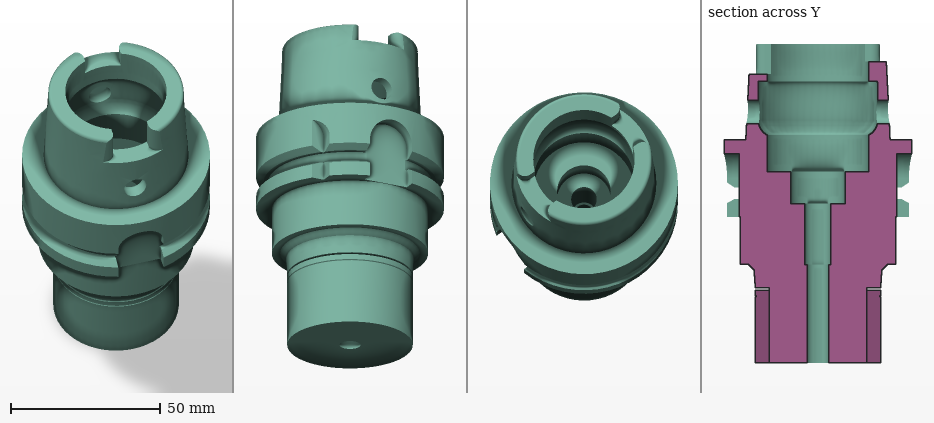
import cadquery as cq
import math

TOP_Z = 107.0
FLANGE_TOP_Z = 74.9
GROOVE_UPPER_EDGE_Z = 60.5
GROOVE_TOP_Z = 58.7
GROOVE_BOTTOM_Z = 55.0
GROOVE_LOWER_EDGE_Z = 53.6
FLANGE_BOTTOM_Z = 48.9
SHANK_BOTTOM_Z = 33.1
COLLAR_TOP_Z = 31.0
COLLAR_BOTTOM_Z = 25.0
NUT_TOP_Z = 24.4

TAPER_BASE_RADIUS = 24.3
TAPER_RATIO = 0.05
TAPER_TOP_RADIUS = TAPER_BASE_RADIUS - TAPER_RATIO * (TOP_Z - FLANGE_TOP_Z)
RIM_FILLET = 1.1
FLANGE_RADIUS = 31.51
GROOVE_LIP_RADIUS = 29.0
GROOVE_RADIUS = 27.5
SHANK_RADIUS = 26.2
NECK_RADIUS = 23.4
COLLAR_TOP_RADIUS = 21.5
COLLAR_BOTTOM_RADIUS = 21.1
SPIGOT_RADIUS = 16.5

MOUTH_RADIUS = 17.0
UNDERCUT_RADIUS = 19.9
UNDERCUT_TOP_Z = 94.3
UNDERCUT_BOTTOM_Z = 75.9
UNDERCUT_FILLET = 5.4
CAVITY_FLOOR_Z = 64.2
SOCKET_RADIUS = 9.0
SOCKET_FLOOR_Z = 53.5
BORE_RADIUS = 3.5
WIDE_BORE_RADIUS = 4.3
WIDE_BORE_FLOOR_Z = SHANK_BOTTOM_Z

CROSS_HOLE_RADIUS = 3.9
CROSS_HOLE_Z = 84.1

KEY_SLOT_HALF_WIDTH = 6.2
KEY_SLOT_CORNER_RADIUS = 3.0
KEY_SLOT_OUTER_X = 20.8
KEY_SLOT_FLOOR_Z_MINUS_X = 101.0
KEY_SLOT_FLOOR_Z_PLUS_X = 96.8

DRIVE_SLOT_HALF_WIDTH = 7.9
DRIVE_SLOT_TOP_Z = 70.1
DRIVE_SLOT_FLOOR_X = 26.5
NOTCH_OFFSET = 20.0
NOTCH_ARCH_RADIUS = 6.7
NOTCH_ARCH_CENTRE_Z = 63.5

NUT_RADIUS = 21.1
NUT_GROOVE_Z = 22.4
NUT_GROOVE_HALF_WIDTH = 0.2
NUT_GROOVE_DEPTH = 0.3

CLEARANCE = 10.7


def revolve(points):
    """Solid of revolution about Z from (radius, height) points."""
    return cq.Workplane("XZ").polyline(points).close().revolve(360, (0, 0), (0, 1))


def cylinder(radius, bottom_z, top_z):
    return cq.Workplane("XY").workplane(offset=bottom_z).circle(radius).extrude(top_z - bottom_z)


def holder_blank():
    blank = revolve([
        (0, 0),
        (SPIGOT_RADIUS, 0),
        (SPIGOT_RADIUS, COLLAR_BOTTOM_Z),
        (COLLAR_BOTTOM_RADIUS, COLLAR_BOTTOM_Z),
        (COLLAR_TOP_RADIUS, COLLAR_TOP_Z),
        (NECK_RADIUS, SHANK_BOTTOM_Z),
        (SHANK_RADIUS, SHANK_BOTTOM_Z),
        (SHANK_RADIUS, FLANGE_BOTTOM_Z),
        (FLANGE_RADIUS, FLANGE_BOTTOM_Z),
        (FLANGE_RADIUS, GROOVE_LOWER_EDGE_Z),
        (GROOVE_LIP_RADIUS, GROOVE_BOTTOM_Z),
        (GROOVE_RADIUS, GROOVE_BOTTOM_Z),
        (GROOVE_RADIUS, GROOVE_TOP_Z),
        (GROOVE_LIP_RADIUS, GROOVE_TOP_Z),
        (FLANGE_RADIUS, GROOVE_UPPER_EDGE_Z),
        (FLANGE_RADIUS, FLANGE_TOP_Z),
        (TAPER_BASE_RADIUS, FLANGE_TOP_Z),
        (TAPER_TOP_RADIUS, TOP_Z),
        (0, TOP_Z),
    ])
    return blank.faces(">Z").edges().fillet(RIM_FILLET)


def holder_cavity():
    """Open mouth, wider undercut with a rounded lower end, socket and stepped through bore, all on the axis."""
    mouth = cylinder(MOUTH_RADIUS, CAVITY_FLOOR_Z, TOP_Z)
    undercut = cylinder(UNDERCUT_RADIUS, UNDERCUT_BOTTOM_Z, UNDERCUT_TOP_Z)
    undercut = undercut.faces("<Z").edges().fillet(UNDERCUT_FILLET)
    socket = cylinder(SOCKET_RADIUS, SOCKET_FLOOR_Z, CAVITY_FLOOR_Z)
    wide_bore = cylinder(WIDE_BORE_RADIUS, WIDE_BORE_FLOOR_Z, SOCKET_FLOOR_Z)
    bore = cylinder(BORE_RADIUS, 0, WIDE_BORE_FLOOR_Z)
    return mouth.union(undercut).union(socket).union(wide_bore).union(bore)


def cross_hole():
    half_length = TAPER_BASE_RADIUS + CLEARANCE
    return (
        cq.Workplane("YZ")
        .center(0, CROSS_HOLE_Z)
        .circle(CROSS_HOLE_RADIUS)
        .extrude(half_length, both=True)
    )


def key_slot(side, floor_z):
    """Rim slot on the +X (side = 1) or -X (side = -1) side, its outer corners rounded."""
    half = KEY_SLOT_HALF_WIDTH
    radius = KEY_SLOT_CORNER_RADIUS
    outer_x = KEY_SLOT_OUTER_X
    wall_end_x = outer_x - radius
    mid_x = wall_end_x + radius * math.sin(math.pi / 4)
    mid_y = half + radius * (1 - math.cos(math.pi / 4))
    wide = half + radius
    flare_y = TAPER_BASE_RADIUS
    far_x = TAPER_BASE_RADIUS + CLEARANCE
    return (
        cq.Workplane("XY")
        .workplane(offset=floor_z)
        .moveTo(0, half)
        .lineTo(side * wall_end_x, half)
        .threePointArc((side * mid_x, mid_y), (side * outer_x, wide))
        .lineTo(side * outer_x, flare_y)
        .lineTo(side * far_x, flare_y)
        .lineTo(side * far_x, -flare_y)
        .lineTo(side * outer_x, -flare_y)
        .lineTo(side * outer_x, -wide)
        .threePointArc((side * mid_x, -mid_y), (side * wall_end_x, -half))
        .lineTo(0, -half)
        .close()
        .extrude(TOP_Z - floor_z)
    )


def drive_slot(side):
    """Flat-floored slot with a round upper end, open through the flange bottom."""
    half = DRIVE_SLOT_HALF_WIDTH
    arch_z = DRIVE_SLOT_TOP_Z - half
    return (
        cq.Workplane("YZ", origin=(side * DRIVE_SLOT_FLOOR_X, 0, 0))
        .moveTo(-half, FLANGE_BOTTOM_Z)
        .lineTo(-half, arch_z)
        .threePointArc((0, DRIVE_SLOT_TOP_Z), (half, arch_z))
        .lineTo(half, FLANGE_BOTTOM_Z)
        .close()
        .extrude(side * CLEARANCE)
    )


def corner_notch():
    """Square-walled notch in the -X, +Y part of the flange, its top a quarter arch."""
    inner_y = NOTCH_OFFSET
    radius = NOTCH_ARCH_RADIUS
    arch_z = NOTCH_ARCH_CENTRE_Z
    apex_y = inner_y + radius
    mid_y = apex_y - radius * math.cos(math.pi / 4)
    mid_z = arch_z + radius * math.sin(math.pi / 4)
    return (
        cq.Workplane("YZ", origin=(-NOTCH_OFFSET, 0, 0))
        .moveTo(inner_y, FLANGE_BOTTOM_Z)
        .lineTo(inner_y, arch_z)
        .threePointArc((mid_y, mid_z), (apex_y, arch_z + radius))
        .lineTo(apex_y, FLANGE_BOTTOM_Z)
        .close()
        .extrude(-CLEARANCE)
    )


def make_holder():
    holder = holder_blank().cut(holder_cavity()).cut(cross_hole())
    holder = holder.cut(key_slot(-1, KEY_SLOT_FLOOR_Z_MINUS_X))
    holder = holder.cut(key_slot(1, KEY_SLOT_FLOOR_Z_PLUS_X))
    for side in (-1, 1):
        holder = holder.cut(drive_slot(side))
    return holder.cut(corner_notch())


def make_nut():
    """Plain ring around the spigot, with a fine V groove near its top."""
    return revolve([
        (SPIGOT_RADIUS, 0),
        (NUT_RADIUS, 0),
        (NUT_RADIUS, NUT_GROOVE_Z - NUT_GROOVE_HALF_WIDTH),
        (NUT_RADIUS - NUT_GROOVE_DEPTH, NUT_GROOVE_Z),
        (NUT_RADIUS, NUT_GROOVE_Z + NUT_GROOVE_HALF_WIDTH),
        (NUT_RADIUS, NUT_TOP_Z),
        (SPIGOT_RADIUS, NUT_TOP_Z),
    ])


holder = make_holder()
nut = make_nut()
result = cq.Compound.makeCompound([holder.solids().val(), nut.val()])